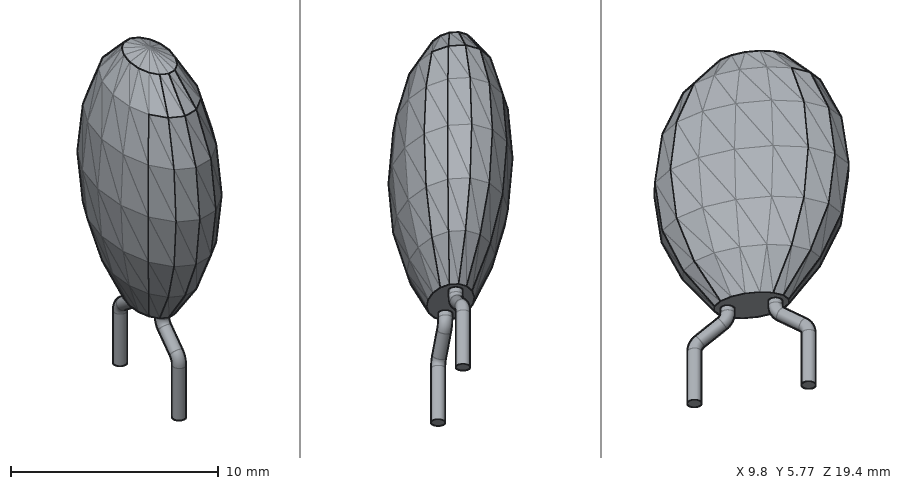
import cadquery as cq
import math

total_height = 19.42

body_width = 9.8
body_depth = 5.77
body_height = 14.33
facets_around = 16
bands_per_half = 4

body_half_height = body_height / 2
body_center_z = total_height - body_half_height
body_base_z = total_height - body_height
facet_step = 2 * math.pi / facets_around
band_step = math.pi / 2 / bands_per_half

lead_diameter = 0.7
leg_offset = 2.87
entry_offset = 1.2
lower_corner_z = 3.3
upper_corner_z = 4.5
bend_radius = 0.66


def body_ring(band):
    """Corner points of one level ring; bands count up from the widest ring."""
    latitude = band * band_step
    spread = math.cos(latitude)
    is_base = band == 1 - bands_per_half
    z = body_base_z if is_base else body_center_z + body_half_height * math.sin(latitude)
    return [
        cq.Vector(
            body_width / 2 * spread * math.cos(i * facet_step),
            body_depth / 2 * spread * math.sin(i * facet_step),
            z,
        )
        for i in range(facets_around)
    ]


def flat_face(*corners):
    return cq.Face.makeFromWires(cq.Wire.makePolygon(corners, close=True))


def make_body():
    rings = [body_ring(band) for band in range(1 - bands_per_half, bands_per_half)]
    apex = cq.Vector(0, 0, total_height)
    faces = [flat_face(*rings[0])]

    for lower, upper in zip(rings, rings[1:]):
        for i in range(facets_around):
            j = (i + 1) % facets_around
            faces.append(flat_face(lower[i], lower[j], upper[i]))
            faces.append(flat_face(lower[j], upper[j], upper[i]))

    for i in range(facets_around):
        j = (i + 1) % facets_around
        faces.append(flat_face(rings[-1][i], rings[-1][j], apex))

    return cq.Solid.makeSolid(cq.Shell.makeShell(faces))


def make_lead(side):
    """Round wire bent twice in the XZ plane; side is -1 or 1."""
    leg_x = side * leg_offset
    entry_x = side * entry_offset
    run = entry_x - leg_x
    rise = upper_corner_z - lower_corner_z
    slant_length = math.hypot(run, rise)
    bend_angle = math.acos(rise / slant_length)

    setback = bend_radius * math.tan(bend_angle / 2)
    setback_x = setback * run / slant_length
    setback_z = setback * rise / slant_length

    path = (
        cq.Workplane("XZ")
        .moveTo(leg_x, 0)
        .lineTo(leg_x, lower_corner_z - setback)
        .tangentArcPoint((leg_x + setback_x, lower_corner_z + setback_z), relative=False)
        .lineTo(entry_x - setback_x, upper_corner_z - setback_z)
        .tangentArcPoint((entry_x, upper_corner_z + setback), relative=False)
        .lineTo(entry_x, body_base_z)
    )
    section = cq.Workplane("XY").center(leg_x, 0).circle(lead_diameter / 2)
    return section.sweep(path).val()


body = make_body()
leads = [make_lead(side) for side in (-1, 1)]

result = cq.Compound.makeCompound([body, *leads])